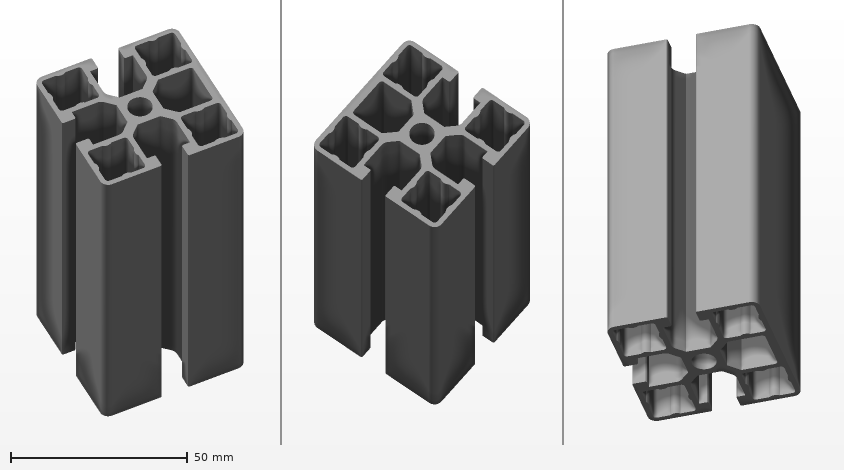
import cadquery as cq

side = 45.0
length = 100.0
corner_radius = 2.5
half_side = side / 2
bore_diameter = 7.2

mouth_width = 8.3
lip_chamfer = 0.3
lip_depth = 4.3
slot_half_width = 6.8
floor_distance = 5.7
shoulder_fillet = 2.5

x_floor_half_width = 3.6
x_shoulder_distance = 8.8
y_floor_half_width = 3.5
y_shoulder_distance = 9.1

closed_wall = 2.6
closed_fillet = 1.0

outer_wall = 1.5
web = 1.6
chamber_fillet = 1.0

ridge_height = 0.5
ridge_half_width = 1.5

chamber_inner = slot_half_width + web
chamber_outer = half_side - outer_wall
chamber_side = chamber_outer - chamber_inner
chamber_centre = (chamber_outer + chamber_inner) / 2


def extrude_outline(points):
    return cq.Workplane("XY").polyline(points).close().extrude(length)


def mirrored_outline(right_half):
    """Closed outline symmetric about the Y axis, from the points of its +X half."""
    return right_half + [(-x, y) for x, y in reversed(right_half)]


def turned(body, angle):
    """Body turned about the long axis of the extrusion."""
    return body.rotate((0, 0, 0), (0, 0, 1), angle)


def slot_cavity(floor_half, shoulder, end):
    """Inside of a slot on the -Y side, widening from its floor to the shoulder, then straight to the end."""
    right_half = [
        (floor_half, -floor_distance),
        (slot_half_width, -shoulder),
        (slot_half_width, -end),
    ]
    return extrude_outline(mirrored_outline(right_half))


def open_slot(floor_half, shoulder):
    """T-slot opening toward -Y, with rounded shoulders and a narrow mouth between chamfered lips."""
    lip_inner = half_side - lip_depth
    cavity = slot_cavity(floor_half, shoulder, lip_inner)
    for x in (-slot_half_width, slot_half_width):
        shoulder_point = (x, -shoulder, length / 2)
        cavity = cavity.edges(cq.selectors.NearestToPointSelector(shoulder_point)).fillet(shoulder_fillet)
    mouth_half = mouth_width / 2
    right_half = [
        (mouth_half + lip_chamfer, -lip_inner),
        (mouth_half, -lip_inner - lip_chamfer),
        (mouth_half, -half_side + lip_chamfer),
        (mouth_half + lip_chamfer, -half_side),
    ]
    return cavity.union(extrude_outline(mirrored_outline(right_half)))


def closed_slot():
    """Enclosed slot on the +Y side, with rounded outer corners."""
    cavity = slot_cavity(y_floor_half_width, y_shoulder_distance, half_side - closed_wall)
    cavity = cavity.faces("<Y").edges("|Z").fillet(closed_fillet)
    return turned(cavity, 180)


def ridge():
    """Round ridge on the -Y wall of a chamber centred on the origin."""
    wall = -chamber_side / 2
    return (
        cq.Workplane("XY")
        .moveTo(-ridge_half_width, wall)
        .threePointArc((0, wall + ridge_height), (ridge_half_width, wall))
        .close()
        .extrude(length)
    )


def chamber():
    """Square corner chamber with a ridge on each wall, centred on the origin."""
    cavity = cq.Workplane("XY").rect(chamber_side, chamber_side).extrude(length)
    cavity = cavity.edges("|Z").fillet(chamber_fillet)
    for angle in (0, 90, 180, 270):
        cavity = cavity.cut(turned(ridge(), angle))
    return cavity


result = cq.Workplane("XY").rect(side, side).extrude(length).edges("|Z").fillet(corner_radius)
result = result.cut(cq.Workplane("XY").circle(bore_diameter / 2).extrude(length))

for angle in (-90, 90):
    result = result.cut(turned(open_slot(x_floor_half_width, x_shoulder_distance), angle))
result = result.cut(open_slot(y_floor_half_width, y_shoulder_distance))
result = result.cut(closed_slot())

for x in (-chamber_centre, chamber_centre):
    for y in (-chamber_centre, chamber_centre):
        result = result.cut(chamber().translate((x, y, 0)))